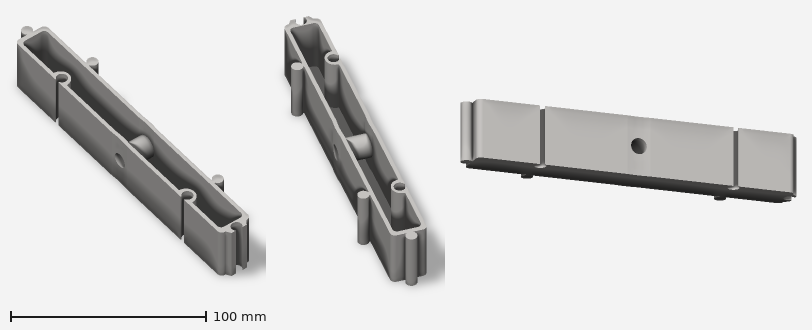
import cadquery as cq

total_length = 182.0
height = 31.5
body_depth = 19.7
total_depth = 26.0
body_left = 5.6
body_right = 179.2
side_wall = 2.2
left_wall = 2.7
right_wall = 3.3
floor_thickness = 2.2
outer_corner_radius = 2.7
inner_corner_radius = 2.4
mid_y = body_depth / 2

pin_radius = 3.1
socket_radius = 3.1
neck_width = 2.7
side_joint_x = (41.1, 146.8)
side_pin_y = total_depth - pin_radius
side_socket_y = side_pin_y - body_depth
side_boss_radius = 5.5
side_boss_y = 2.4
end_pin_x = pin_radius
end_socket_x = 179.8
end_lug_tip_width = 9.8
end_lug_base_width = 13.5

tube_x = 93.9
tube_z = height / 2
tube_diameter = 12.7
bore_diameter = 8.5
bow = 0.4


def block(x_min, x_max, y_min, y_max, z_min=0.0):
    """Box between the given limits, reaching up to the top rim."""
    size = (x_max - x_min, y_max - y_min, height - z_min)
    return cq.Workplane("XY").box(*size, centered=False).translate((x_min, y_min, z_min))


def post(x, y, radius):
    """Full-height round post."""
    return cq.Workplane("XY").center(x, y).circle(radius).extrude(height)


def side_neck(x, y_min, y_max):
    """Narrow web or mouth between a round joint and a long wall."""
    return block(x - neck_width / 2, x + neck_width / 2, y_min, y_max)


def bow_segment(y, z_min=0.0):
    """Shallow circular segment on a wall face, bulging toward +Y."""
    half = tube_diameter / 2
    return (
        cq.Workplane("XY", origin=(0, 0, z_min))
        .moveTo(tube_x - half, y)
        .threePointArc((tube_x, y + bow), (tube_x + half, y))
        .close()
        .extrude(height - z_min)
    )


def cross_cylinder(diameter):
    """Cylinder along Y through both long walls."""
    return (
        cq.Workplane("XZ", origin=(tube_x, 0, tube_z))
        .circle(diameter / 2)
        .extrude(-body_depth)
    )


def end_lug():
    """Tapered lug on the right end that surrounds the end socket."""
    tip = end_lug_tip_width / 2
    base = end_lug_base_width / 2
    outline = [
        (body_right - right_wall, mid_y - base),
        (body_right, mid_y - base),
        (total_length, mid_y - tip),
        (total_length, mid_y + tip),
        (body_right, mid_y + base),
        (body_right - right_wall, mid_y + base),
    ]
    return cq.Workplane("XY").polyline(outline).close().extrude(height)


body = block(body_left, body_right, 0, body_depth).edges("|Z").fillet(outer_corner_radius)
pocket = block(
    body_left + left_wall,
    body_right - right_wall,
    side_wall,
    body_depth - side_wall,
    floor_thickness,
).edges("|Z").fillet(inner_corner_radius)

body = body.union(bow_segment(body_depth)).cut(bow_segment(0))
pocket = pocket.union(bow_segment(body_depth - side_wall, floor_thickness))
pocket = pocket.cut(bow_segment(side_wall, floor_thickness))

for joint_x in side_joint_x:
    pocket = pocket.cut(post(joint_x, side_boss_y, side_boss_radius))
pocket = pocket.cut(cross_cylinder(tube_diameter))
result = body.cut(pocket).union(end_lug())

for joint_x in side_joint_x:
    result = result.union(post(joint_x, side_pin_y, pin_radius))
    result = result.union(side_neck(joint_x, body_depth - side_wall, side_pin_y))
result = result.union(post(end_pin_x, mid_y, pin_radius))

for joint_x in side_joint_x:
    result = result.cut(post(joint_x, side_socket_y, socket_radius))
    result = result.cut(side_neck(joint_x, 0, side_socket_y))
result = result.cut(post(end_socket_x, mid_y, socket_radius))

bore = cross_cylinder(bore_diameter)
result = result.cut(bore).cut(bore.translate((0, bow, 0)))